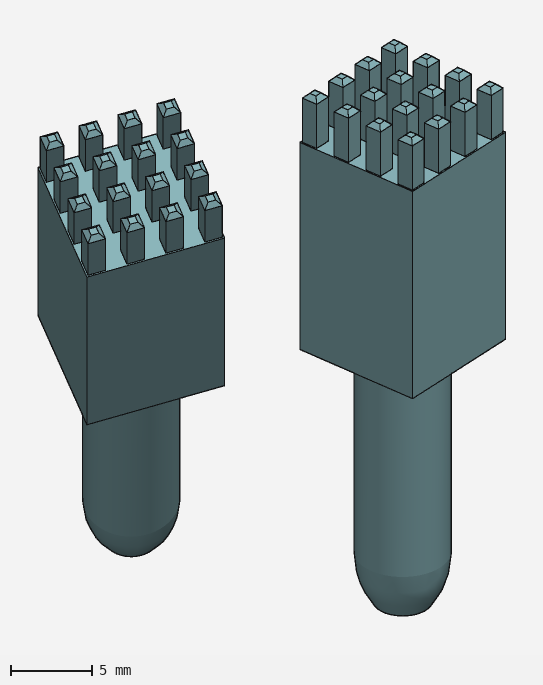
import cadquery as cq
import math

body_width = 9.0
body_height = 15.0

shaft_diameter = 6.0
shaft_length = 15.0
nose_length = 3.5
nose_arc_radius = shaft_diameter

pins_per_side = 4
pin_width = 1.15
pin_edge_gap = 0.1
pin_pitch = (body_width - 2 * pin_edge_gap - pin_width) / (pins_per_side - 1)
pin_height = 3.5
pin_chamfer = 0.322

shaft_bottom = nose_length
body_bottom = shaft_bottom + shaft_length
body_top = body_bottom + body_height


def make_shaft():
    """Revolve the shaft and nose from their -X half profile; the nose arc is tangent to the shaft side."""
    shaft_radius = shaft_diameter / 2
    arc_center_x = nose_arc_radius - shaft_radius

    def arc_point(angle):
        return (
            arc_center_x - nose_arc_radius * math.cos(angle),
            shaft_bottom - nose_arc_radius * math.sin(angle),
        )

    end_angle = math.asin(nose_length / nose_arc_radius)
    profile = (
        cq.Workplane("XZ")
        .moveTo(0, body_bottom)
        .lineTo(-shaft_radius, body_bottom)
        .lineTo(-shaft_radius, shaft_bottom)
        .threePointArc(arc_point(end_angle / 2), arc_point(end_angle))
        .lineTo(0, 0)
        .close()
    )
    return profile.revolve(360, (0, 0), (0, 1))


def make_body():
    return (
        cq.Workplane("XY", origin=(0, 0, body_bottom))
        .rect(body_width, body_width)
        .extrude(body_height)
    )


def make_pins():
    """Square grid of pins, each with its top edges chamfered."""
    return (
        cq.Workplane("XY", origin=(0, 0, body_top))
        .rarray(pin_pitch, pin_pitch, pins_per_side, pins_per_side)
        .rect(pin_width, pin_width)
        .extrude(pin_height)
        .faces(">Z")
        .edges()
        .chamfer(pin_chamfer)
    )


result = make_body().union(make_shaft()).union(make_pins())